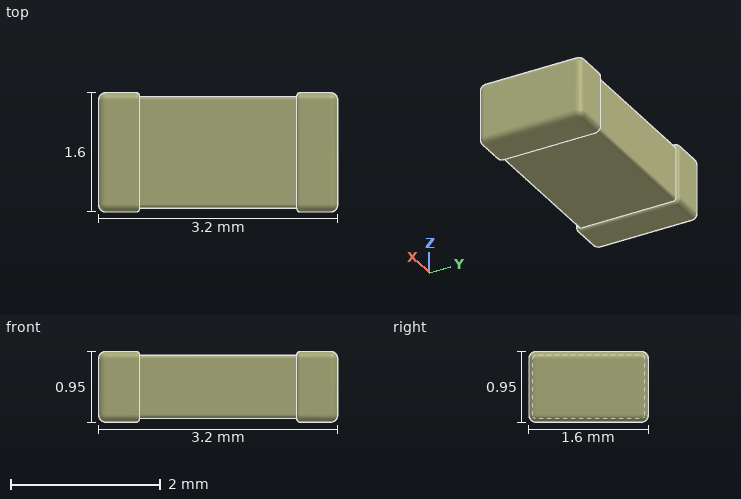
import cadquery as cq

length = 3.2
width = 1.6
height = 0.95
cap_length = 0.55
cap_radius = 0.1
lip_radius = 0.048
body_inset = 0.05

body_radius = cap_radius - body_inset
body_length = length - cap_length


def make_body():
    """Central bar with rounded long edges."""
    bar = cq.Workplane("XY").box(body_length, width - 2 * body_inset, height - 2 * body_inset)
    return bar.edges("|X").fillet(body_radius)


def make_cap(side):
    """Terminal cap at the -X end (side = -1) or the +X end (side = 1)."""
    outer_face, inner_face = (">X", "<X") if side > 0 else ("<X", ">X")
    center_x = side * (length - cap_length) / 2
    cap = cq.Workplane("XY").box(cap_length, width, height).translate((center_x, 0, 0))
    cap = cap.edges(f"|X or {outer_face}").fillet(cap_radius)
    return cap.faces(inner_face).edges().fillet(lip_radius)


result = make_body()
for side in (-1, 1):
    result = result.union(make_cap(side))